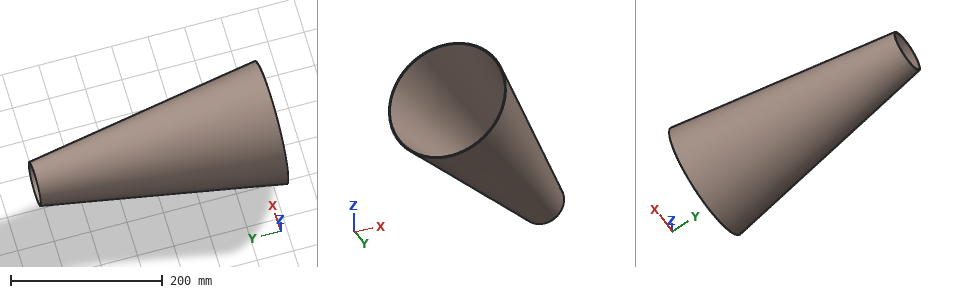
import cadquery as cq

length = 324.0
wide_diameter = 168.0
narrow_diameter = 60.3
wall = 2.0

wide_radius = wide_diameter / 2
narrow_radius = narrow_diameter / 2

wall_section = (
    cq.Workplane("YZ")
    .moveTo(0, wide_radius - wall)
    .lineTo(0, wide_radius)
    .lineTo(length, narrow_radius)
    .lineTo(length, narrow_radius - wall)
    .close()
)

result = wall_section.revolve(360, (0, 0, 0), (1, 0, 0))